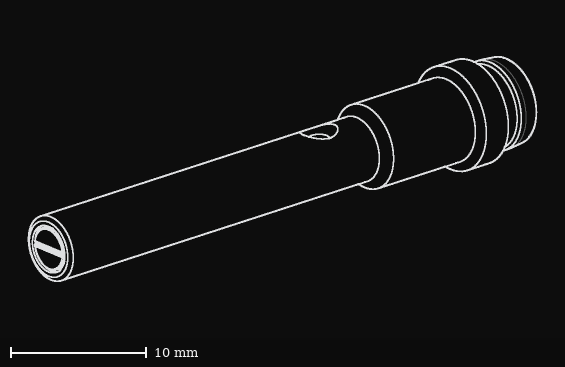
import cadquery as cq

length = 45.0

rod_radius = 5.0 / 2
body_radius = 6.5 / 2
collar_radius = 8.0 / 2
snap_radius = 6.9 / 2
head_end_radius = 6.65 / 2

head_chamfer = 0.15
snap_start = 1.25
snap_end = 1.7
snap_foot = 1.95
collar_start = 3.0
collar_rear_edge = 3.45
collar_front_edge = 5.62
collar_end = 6.05
shoulder_start = 14.05
shoulder_end = shoulder_start + body_radius - rod_radius

tip_bevel_radial = 0.35
tip_bevel_axial = 0.22

bore_radius = 3.6 / 2
screw_radius = 3.25 / 2
gap_depth = 0.25
edge_bevel = 0.1
slot_width = 0.22
slot_depth = 0.25
slot_mouth_width = slot_width + 2 * edge_bevel

dimple_distance = 18.5
dimple_floor_radius = 1.55 / 2
dimple_floor_height = 1.85
dimple_height = rod_radius - dimple_floor_height
dimple_top_radius = 1.55


def along(distance):
    """Y position at a distance from the head end, with the part centred."""
    return length / 2 - distance


def turned_body():
    stations = [
        (0, 0),
        (head_end_radius - head_chamfer, 0),
        (head_end_radius, head_chamfer),
        (snap_radius, snap_start),
        (snap_radius, snap_end),
        (body_radius, snap_foot),
        (body_radius, collar_start),
        (collar_radius, collar_rear_edge),
        (collar_radius, collar_front_edge),
        (body_radius, collar_end),
        (body_radius, shoulder_start),
        (rod_radius, shoulder_end),
        (rod_radius, length - tip_bevel_axial),
        (rod_radius - tip_bevel_radial, length),
        (bore_radius, length),
        (bore_radius, length - gap_depth),
        (screw_radius, length - gap_depth),
        (screw_radius, length - edge_bevel),
        (screw_radius - edge_bevel, length),
        (0, length),
    ]
    points = [(radius, along(distance)) for radius, distance in stations]
    return cq.Workplane("XY").polyline(points).close().revolve(360, (0, 0, 0), (0, 1, 0))


def screw_slot():
    """Slot across the screw with bevelled long edges, drawn in the YZ plane."""
    tip = along(length)
    half_profile = [
        (tip, slot_mouth_width / 2),
        (tip + edge_bevel, slot_width / 2),
        (tip + slot_depth, slot_width / 2),
    ]
    mirrored = [(y, -z) for y, z in reversed(half_profile)]
    return (
        cq.Workplane("YZ")
        .polyline(half_profile + mirrored)
        .close()
        .extrude(screw_radius, both=True)
    )


def dimple():
    return (
        cq.Workplane("XY", origin=(0, along(dimple_distance), dimple_floor_height))
        .circle(dimple_floor_radius)
        .workplane(offset=dimple_height)
        .circle(dimple_top_radius)
        .loft()
    )


result = turned_body().cut(screw_slot()).cut(dimple())